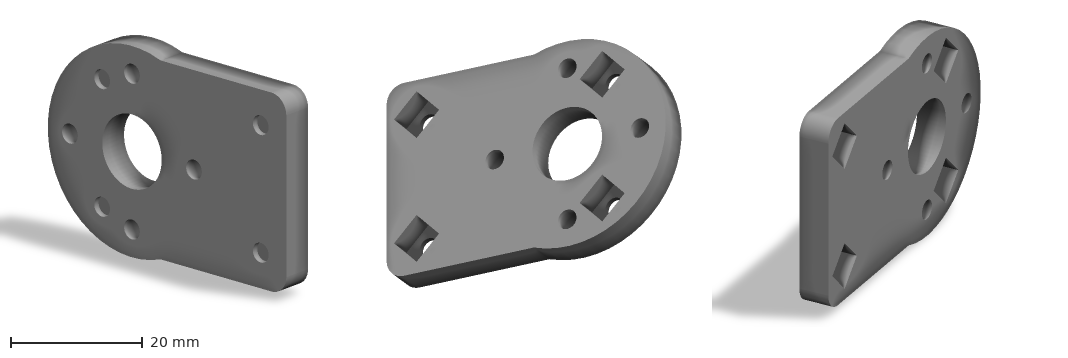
import cadquery as cq
import math

length = 48.15
thickness = 5.0
head_diameter = 34.0
tail_height = 31.95
corner_radius = 3.0

bore_diameter = 12.0
hole_diameter = 3.2
bolt_circle_radius = 12.5
bolt_count = 4
mount_front_x = -6.0
mount_rear_x = 26.0
mount_half_spacing = 10.25
nut_across_flats = 5.5
nut_sides = 4
lip_thickness = 1.0

head_radius = head_diameter / 2
tail_end_x = length - head_radius
nut_across_corners = nut_across_flats * math.sqrt(2)


def front_plane():
    """XZ plane on the -Y face, with +X right and +Z up."""
    return cq.Workplane("XZ", origin=(0, -thickness / 2, 0))


def plate():
    """Round head merged with a rectangular tail whose end corners are rounded."""
    head = front_plane().circle(head_radius).extrude(-thickness)
    tail = (
        front_plane()
        .center(tail_end_x / 2, 0)
        .rect(tail_end_x, tail_height)
        .extrude(-thickness)
        .edges("|Y and >X")
        .fillet(corner_radius)
    )
    return head.union(tail)


def holes():
    """Central bore, bolt circle around it and four mounting holes.

    Each mounting hole has a square nut pocket, corners up, open to +Y.
    """
    bore = front_plane().circle(bore_diameter / 2).extrude(-thickness)
    bolts = (
        front_plane()
        .polarArray(bolt_circle_radius, 0, 360, bolt_count)
        .circle(hole_diameter / 2)
        .extrude(-thickness)
    )
    mount_points = [
        (x, side * mount_half_spacing)
        for x in (mount_front_x, mount_rear_x)
        for side in (-1, 1)
    ]
    mounts = front_plane().pushPoints(mount_points).circle(hole_diameter / 2).extrude(-thickness)
    nut_pockets = (
        front_plane()
        .workplane(offset=-lip_thickness)
        .pushPoints(mount_points)
        .polygon(nut_sides, nut_across_corners)
        .extrude(lip_thickness - thickness)
    )
    return bore.union(bolts).union(mounts).union(nut_pockets)


result = plate().cut(holes())